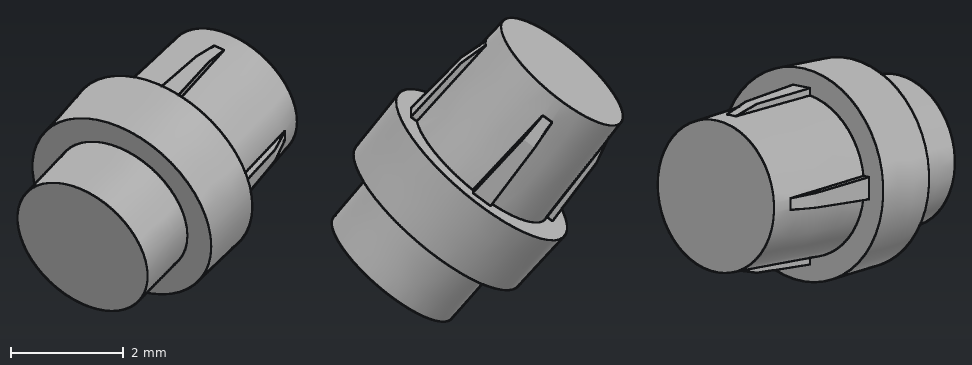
import cadquery as cq

total_length = 4.83
spigot_length = 1.27
flange_length = 1.27
barrel_length = total_length - spigot_length - flange_length

spigot_end_radius = 1.385
spigot_root_radius = 1.395
flange_front_radius = 1.905
flange_back_diameter = 3.89
flange_back_radius = flange_back_diameter / 2
barrel_root_radius = 1.49
barrel_end_radius = 1.385

rib_count = 4
rib_length = 1.875
rib_ramp_length = 0.53
rib_root_radius = 1.61
rib_shoulder_radius = 1.54
rib_root_width = 0.405
rib_tip_width = 0.213

flange_front = -total_length / 2 + spigot_length
flange_back = flange_front + flange_length
barrel_end = flange_back + barrel_length


def make_body():
    """Revolve the spigot, flange and barrel, each with a slight draft."""
    profile = [
        (0, -total_length / 2),
        (spigot_end_radius, -total_length / 2),
        (spigot_root_radius, flange_front),
        (flange_front_radius, flange_front),
        (flange_back_radius, flange_back),
        (barrel_root_radius, flange_back),
        (barrel_end_radius, barrel_end),
        (0, barrel_end),
    ]
    return cq.Workplane("XY").polyline(profile).close().revolve(360, (0, 0), (0, 1))


def make_rib():
    """Make the +X rib: its ramped side profile cut to a tapering width."""
    rib_tip = flange_back + rib_length
    shoulder = rib_tip - rib_ramp_length
    draft = (barrel_root_radius - barrel_end_radius) / barrel_length
    tip_radius = barrel_root_radius - draft * rib_length
    side = [
        (0, flange_back),
        (rib_root_radius, flange_back),
        (rib_shoulder_radius, shoulder),
        (tip_radius, rib_tip),
        (0, rib_tip),
    ]
    plan = [
        (flange_back, -rib_root_width / 2),
        (flange_back, rib_root_width / 2),
        (rib_tip, rib_tip_width / 2),
        (rib_tip, -rib_tip_width / 2),
    ]
    slab = cq.Workplane("XY").polyline(side).close().extrude(rib_root_width, both=True)
    wedge = cq.Workplane("YZ").polyline(plan).close().extrude(rib_root_radius)
    return slab.intersect(wedge)


result = make_body()
rib = make_rib()
for index in range(rib_count):
    angle = index * 360 / rib_count
    result = result.union(rib.rotate((0, 0, 0), (0, 1, 0), angle))